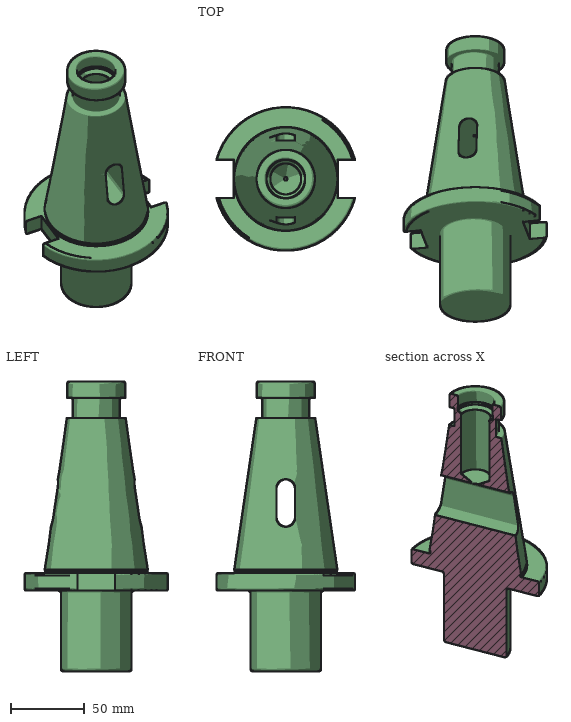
import cadquery as cq
import math

GAUGE_DIA = 69.85
TAPER_RATE = 7 / 24
TAPER_TOP_Z = 102.0
TAPER_TOP_FILLET = 1.0
OVERALL_TOP_Z = 126.8

COLLAR_DIA = 39.6
COLLAR_TOP_FILLET = 2.0
COLLAR_BOTTOM_Z = 115.6
COLLAR_BOTTOM_FILLET = 0.8
NECK_DIA = 32.0
NECK_ROOT_FILLET = 0.3
NECK_TOP_FILLET = 1.0

FLANGE_DIA = 97.5
FLANGE_TOP_Z = -3.2
FLANGE_THICKNESS = 12.0
FLANGE_FILLET = 1.6
RELIEF_DIA = 68.8
RELIEF_FILLET = 0.9
TAPER_BOTTOM_Z = -0.9

SHANK_DIA = 48.0
SHANK_BOTTOM_Z = -70.0
SHANK_ROOT_FILLET = 1.5
SHANK_END_FILLET = 2.0

KEYWAY_WIDTH = 25.7
KEYWAY_FLOOR_X = 35.3

DRIFT_WIDTH = 12.4
DRIFT_HEIGHT = 32.0
DRIFT_TOP_Z = 60.3

BORE_DIA = 26.0
BORE_MOUTH_FILLET = 1.5
UNDERCUT_DIA = 26.6
UNDERCUT_TOP_Z = 117.3
UNDERCUT_BOTTOM_Z = 115.2
SEAT_ANGLE = 100.0
DRILL_DIA = 21.0
DRILL_POINT_ANGLE = 118.0
DRILL_BREAKTHROUGH = 0.7
DRILL_TIP_Z = DRIFT_TOP_Z - DRILL_BREAKTHROUGH

OUTWARD = (1, 0)
INWARD = (-1, 0)
UP = (0, 1)


def round_corner(outline, corner, radius, from_dir, to_dir):
    """Draw to an (r, z) corner and round it with a quarter arc.

    The outline arrives at the corner heading along from_dir and leaves it heading along to_dir,
    two unit directions at right angles to each other.
    """
    corner_r, corner_z = corner
    start = (corner_r - from_dir[0] * radius, corner_z - from_dir[1] * radius)
    end = (corner_r + to_dir[0] * radius, corner_z + to_dir[1] * radius)
    middle_offset = radius * (1 - math.sqrt(0.5))
    middle = (
        corner_r + (to_dir[0] - from_dir[0]) * middle_offset,
        corner_z + (to_dir[1] - from_dir[1]) * middle_offset,
    )
    return outline.lineTo(*start).threePointArc(middle, end)


def taper_radius(z):
    """Radius of the 7:24 cone at height z."""
    return (GAUGE_DIA - TAPER_RATE * z) / 2


def round_taper_top(outline):
    """Draw up the cone and round its upper edge into the flat shoulder at TAPER_TOP_Z."""
    half_angle = math.atan(TAPER_RATE / 2)
    edge_radius = taper_radius(TAPER_TOP_Z)
    setback = TAPER_TOP_FILLET * math.tan((math.pi / 2 - half_angle) / 2)
    start = (
        edge_radius + setback * math.sin(half_angle),
        TAPER_TOP_Z - setback * math.cos(half_angle),
    )
    end = (edge_radius - setback, TAPER_TOP_Z)
    middle_angle = (half_angle + math.pi / 2) / 2
    middle = (
        end[0] + TAPER_TOP_FILLET * math.cos(middle_angle),
        TAPER_TOP_Z - TAPER_TOP_FILLET * (1 - math.sin(middle_angle)),
    )
    return outline.lineTo(*start).threePointArc(middle, end)


def build_body():
    """Revolve the outer outline of shank, flange, taper and head."""
    flange_bottom_z = FLANGE_TOP_Z - FLANGE_THICKNESS
    collar_radius = COLLAR_DIA / 2
    neck_radius = NECK_DIA / 2
    flange_radius = FLANGE_DIA / 2
    shank_radius = SHANK_DIA / 2
    relief_radius = RELIEF_DIA / 2

    outline = cq.Workplane("XZ").moveTo(0, SHANK_BOTTOM_Z)
    outline = round_corner(outline, (shank_radius, SHANK_BOTTOM_Z), SHANK_END_FILLET, OUTWARD, UP)
    outline = round_corner(outline, (shank_radius, flange_bottom_z), SHANK_ROOT_FILLET, UP, OUTWARD)
    outline = round_corner(outline, (flange_radius, flange_bottom_z), FLANGE_FILLET, OUTWARD, UP)
    outline = round_corner(outline, (flange_radius, FLANGE_TOP_Z), FLANGE_FILLET, UP, INWARD)
    outline = round_corner(outline, (relief_radius, FLANGE_TOP_Z), RELIEF_FILLET, INWARD, UP)
    outline = outline.lineTo(taper_radius(TAPER_BOTTOM_Z), TAPER_BOTTOM_Z)
    outline = round_taper_top(outline)
    outline = round_corner(outline, (neck_radius, TAPER_TOP_Z), NECK_ROOT_FILLET, INWARD, UP)
    outline = round_corner(outline, (neck_radius, COLLAR_BOTTOM_Z), NECK_TOP_FILLET, UP, OUTWARD)
    outline = round_corner(outline, (collar_radius, COLLAR_BOTTOM_Z), COLLAR_BOTTOM_FILLET, OUTWARD, UP)
    outline = round_corner(outline, (collar_radius, OVERALL_TOP_Z), COLLAR_TOP_FILLET, UP, INWARD)
    outline = outline.lineTo(0, OVERALL_TOP_Z).close()
    return outline.revolve(360, (0, 0), (0, 1))


def build_bore():
    """Rounded counterbore, undercut, conical seat, drill hole and drill point as one solid."""
    bore_radius = BORE_DIA / 2
    undercut_radius = UNDERCUT_DIA / 2
    drill_radius = DRILL_DIA / 2
    point_height = drill_radius / math.tan(math.radians(DRILL_POINT_ANGLE / 2))
    seat_height = (undercut_radius - drill_radius) / math.tan(math.radians(SEAT_ANGLE / 2))
    outline = (
        cq.Workplane("XZ")
        .moveTo(0, DRILL_TIP_Z)
        .lineTo(drill_radius, DRILL_TIP_Z + point_height)
        .lineTo(drill_radius, UNDERCUT_BOTTOM_Z - seat_height)
        .lineTo(undercut_radius, UNDERCUT_BOTTOM_Z)
        .lineTo(undercut_radius, UNDERCUT_TOP_Z)
        .lineTo(bore_radius, UNDERCUT_TOP_Z)
    )
    outline = round_corner(outline, (bore_radius, OVERALL_TOP_Z), BORE_MOUTH_FILLET, UP, OUTWARD)
    outline = outline.lineTo(0, OVERALL_TOP_Z).close()
    return outline.revolve(360, (0, 0), (0, 1))


def build_drift_slot():
    """Upright slot with round ends, running along Y through the whole taper."""
    slot_centre_z = DRIFT_TOP_Z - DRIFT_HEIGHT / 2
    return (
        cq.Workplane("XZ")
        .center(0, slot_centre_z)
        .slot2D(DRIFT_HEIGHT, DRIFT_WIDTH, 90)
        .extrude(GAUGE_DIA / 2, both=True)
    )


def build_keyway(side):
    """Square driving slot through the flange rim; side is -1 or +1 along X."""
    length = FLANGE_DIA / 2
    return cq.Workplane("XY").box(length, KEYWAY_WIDTH, FLANGE_THICKNESS).translate(
        (side * (KEYWAY_FLOOR_X + length / 2), 0, FLANGE_TOP_Z - FLANGE_THICKNESS / 2))


result = build_body().cut(build_bore()).cut(build_drift_slot())
for keyway_side in (-1, 1):
    result = result.cut(build_keyway(keyway_side))